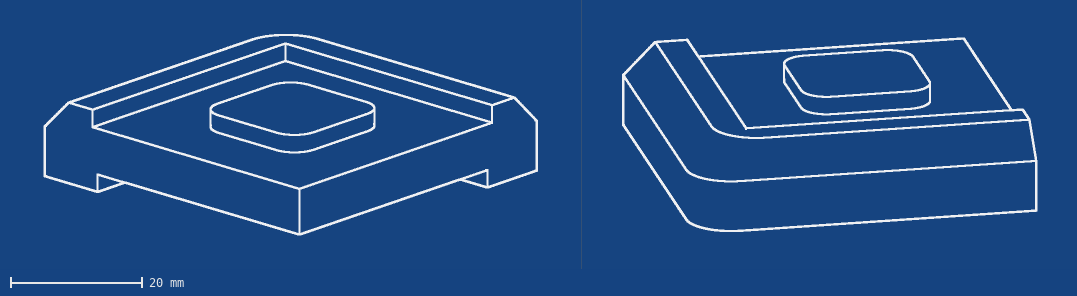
import cadquery as cq

side = 53.0
height = 13.0
bevel = 5.0
corner_radius = 7.0
rim_width = 5.0
recess_depth = 2.8
bottom_wall = 11.0
pad_size = 20.0
pad_radius = 4.0
pad_inset = 31.9

top_wall = bevel + rim_width


def corner_outline(plane, inset):
    """Square set in from the -X and +Y sides, with their shared corner rounded."""
    left = inset
    back = side - inset
    return (
        plane.moveTo(left, 0)
        .lineTo(side, 0)
        .lineTo(side, back)
        .lineTo(left + corner_radius, back)
        .radiusArc((left, back - corner_radius), -corner_radius)
        .close()
    )


def corner_recess(wall, bottom):
    """Square cutter that leaves a wall along the -X and +Y sides."""
    return (
        cq.Workplane("XY", origin=(wall, 0, bottom))
        .rect(side - wall, side - wall, centered=False)
        .extrude(recess_depth)
    )


bevel_start = height - bevel
base = corner_outline(cq.Workplane("XY"), 0).extrude(bevel_start)
bevel_bottom = corner_outline(cq.Workplane("XY", origin=(0, 0, bevel_start)), 0)
bevel_top = corner_outline(bevel_bottom.workplane(offset=bevel), bevel)
body = base.union(bevel_top.loft(ruled=True))

body = body.cut(corner_recess(top_wall, height - recess_depth))
body = body.cut(corner_recess(bottom_wall, 0))

pad = (
    cq.Workplane("XY", origin=(pad_inset, side - pad_inset, height - recess_depth))
    .rect(pad_size, pad_size)
    .extrude(recess_depth)
    .edges("|Z")
    .fillet(pad_radius)
)
result = body.union(pad)